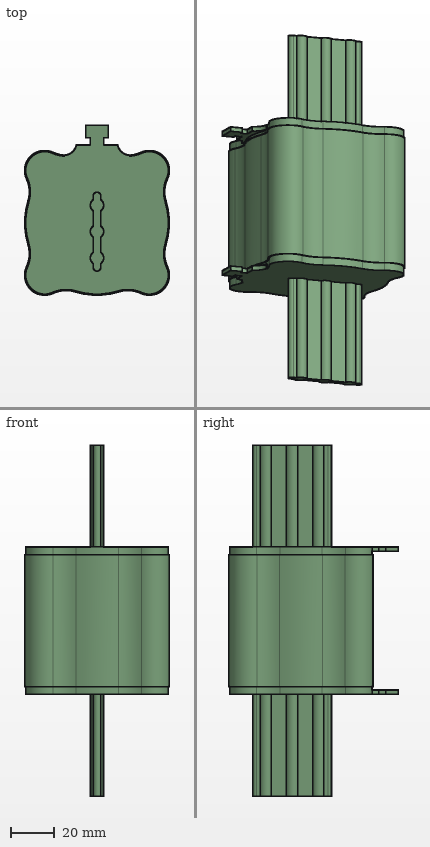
import cadquery as cq
import math

total_height = 160.0
body_width = 66.0

plate_top = 33.6
plate_thickness = 3.5
plate_inset = 0.5
lobe_radius = 9.1
hollow_radius = 14.4

lug_thickness = 2.0
lug_tip_y = 44.5
head_inner_y = 38.7
head_width = 10.4
neck_width = 6.2
shoulder_y = 35.5
shoulder_width = 18.9
flare_foot_y = 30.9
flare_foot_width = 30.0
lug_root_y = 24.0

blade_length = 36.0
blade_thickness = 3.4
blade_center_y = -4.0
rib_radius = 3.0
rib_spacing = 12.0


def point_towards(start, end, distance):
    """Point at a given distance from start, in the direction of end."""
    span = math.dist(start, end)
    return tuple(a + (b - a) * distance / span for a, b in zip(start, end))


def swap_axes(point):
    """Mirror a point across the diagonal of the first quadrant."""
    return point[1], point[0]


def quarter_turns(point, count):
    """Rotate a point about the origin by a number of quarter turns."""
    x, y = point
    for _ in range(count):
        x, y = -y, x
    return x, y


def wavy_outline(inset):
    """Closed four-lobed outline, moved inwards from the body edge by inset.

    Each side is a bulge centred on the Z axis, joined to the corner lobes by tangent hollows.
    """
    axis = (0.0, 0.0)
    lobe_offset = body_width / 2 - lobe_radius
    lobe_center = (lobe_offset, lobe_offset)

    hollow_to_axis = body_width / 2 + hollow_radius
    hollow_to_lobe = lobe_radius + hollow_radius
    diagonal = math.hypot(*lobe_center)
    cos_spread = (hollow_to_axis**2 + diagonal**2 - hollow_to_lobe**2) / (2 * hollow_to_axis * diagonal)
    hollow_angle = math.pi / 4 - math.acos(cos_spread)
    hollow_center = (hollow_to_axis * math.cos(hollow_angle), hollow_to_axis * math.sin(hollow_angle))

    bulge = body_width / 2 - inset
    lobe = lobe_radius - inset
    hollow = hollow_radius + inset
    bulge_end = point_towards(axis, hollow_center, bulge)
    lobe_end = point_towards(lobe_center, hollow_center, lobe)
    chord_middle = tuple((a + b) / 2 for a, b in zip(bulge_end, lobe_end))
    hollow_middle = point_towards(hollow_center, chord_middle, hollow)
    lobe_tip = point_towards(axis, lobe_center, diagonal + lobe)

    outline = cq.Workplane("XY").moveTo(*bulge_end)
    for turn in range(4):
        arcs = [
            (hollow_middle, lobe_end),
            (lobe_tip, swap_axes(lobe_end)),
            (swap_axes(hollow_middle), swap_axes(bulge_end)),
            ((0.0, bulge), quarter_turns(bulge_end, 1)),
        ]
        for middle, end in arcs:
            outline = outline.threePointArc(quarter_turns(middle, turn), quarter_turns(end, turn))
    return outline.close()


def make_body():
    """Wavy block with a slightly smaller plate at each end."""
    body_height = 2 * (plate_top - plate_thickness)
    body = wavy_outline(0.0).extrude(body_height / 2, both=True)
    plates = wavy_outline(plate_inset).extrude(plate_top, both=True)
    return body.union(plates)


def make_lug():
    """T-shaped lug with flared shoulders, its upper face flush with the top plate."""
    lug = (
        cq.Workplane("XY", origin=(0, 0, plate_top))
        .moveTo(0, lug_root_y)
        .lineTo(flare_foot_width / 2, lug_root_y)
        .lineTo(flare_foot_width / 2, flare_foot_y)
    )
    run = (flare_foot_width - shoulder_width) / 2
    rise = shoulder_y - flare_foot_y
    flare_radius = (run**2 + rise**2) / (2 * rise)
    flare_center = (flare_foot_width / 2, flare_foot_y + flare_radius)
    chord_middle = ((flare_foot_width + shoulder_width) / 4, (flare_foot_y + shoulder_y) / 2)
    flare_middle = point_towards(flare_center, chord_middle, flare_radius)
    return (
        lug.threePointArc(flare_middle, (shoulder_width / 2, shoulder_y))
        .lineTo(neck_width / 2, shoulder_y)
        .lineTo(neck_width / 2, head_inner_y)
        .lineTo(head_width / 2, head_inner_y)
        .lineTo(head_width / 2, lug_tip_y)
        .lineTo(0, lug_tip_y)
        .mirrorY()
        .extrude(-lug_thickness)
    )


def make_blade():
    """Round-ended blade with three ribs, running the full height of the part."""
    section = cq.Workplane("XY", origin=(0, blade_center_y, 0))
    strip = section.slot2D(blade_length, blade_thickness, 90).extrude(total_height / 2, both=True)
    rib_centers = [(0, step * rib_spacing) for step in (-1, 0, 1)]
    ribs = section.pushPoints(rib_centers).circle(rib_radius).extrude(total_height / 2, both=True)
    return strip.union(ribs)


top_lug = make_lug()
bottom_lug = top_lug.mirror("XY")
result = make_body().union(top_lug).union(bottom_lug).union(make_blade())